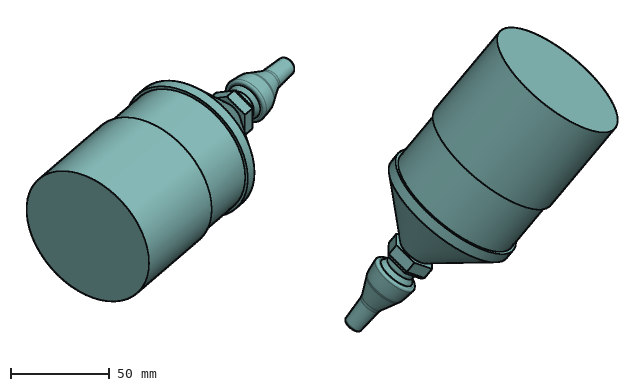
import cadquery as cq
import math

total_length = 173.7
body_length = 54.5
collar_start = 86.0
cone_start = 91.9
nut_start = 121.0
nut_length = 8.0
neck_end = 133.2
barb_start = 136.2
barb_rim_round = 1.5
barb_shoulder = 146.3
barb_taper_start = 147.3
barb_taper_end = 157.2
spigot_start = 158.8
tip_round = 1.2

body_radius = 76.3 / 2
waist_radius = 73.0 / 2
neck_radius = 16.3 / 2
barb_underside_radius = 9.9
barb_radius = 12.5
bulge_height = 0.2
barb_shoulder_radius = 11.3
barb_taper_radius = 10.8
barb_taper_end_radius = 6.3
spigot_radius = 5.9
tip_radius = 5.0

nut_across_flats = 22.5
nut_chamfer_width = 0.9
nut_chamfer_length = 1.5

cone_top_radius = body_radius - (nut_start - cone_start)


def make_body():
    """Cylindrical body with a recessed waist, a collar and a cone."""
    return (
        cq.Workplane("XY")
        .lineTo(body_radius, 0)
        .lineTo(body_radius, body_length)
        .lineTo(waist_radius, body_length)
        .lineTo(waist_radius, collar_start)
        .lineTo(body_radius, collar_start)
        .lineTo(body_radius, cone_start)
        .lineTo(cone_top_radius, nut_start)
        .lineTo(0, nut_start)
        .close()
        .revolve(360, (0, 0, 0), (0, 1, 0))
    )


def make_nut():
    """Hexagonal nut with each flat chamfered at the hose end."""
    corner_diameter = nut_across_flats / math.cos(math.radians(30))
    plane = cq.Plane(origin=(0, nut_start, 0), xDir=(0, 0, 1), normal=(0, 1, 0))
    nut = cq.Workplane(plane).polygon(6, corner_diameter).extrude(nut_length)
    return nut.faces(">Y").chamfer(nut_chamfer_length, nut_chamfer_width)


def make_hose_barb():
    """Neck, bulging barb and tapered spigot with a rounded tip."""
    diagonal = math.sqrt(0.5)
    barb_rim = barb_start + barb_rim_round
    barb_edge_radius = barb_radius - barb_rim_round
    rim_offset = barb_rim_round * diagonal
    round_offset = tip_round * diagonal
    tip_face_radius = tip_radius - tip_round
    tip_round_start = total_length - tip_round
    bulge_middle = (
        (barb_radius + barb_shoulder_radius) / 2 + bulge_height,
        (barb_rim + barb_shoulder) / 2,
    )
    return (
        cq.Workplane("XY")
        .moveTo(0, nut_start)
        .lineTo(neck_radius, nut_start)
        .lineTo(neck_radius, neck_end)
        .lineTo(barb_underside_radius, barb_start)
        .lineTo(barb_edge_radius, barb_start)
        .threePointArc(
            (barb_edge_radius + rim_offset, barb_rim - rim_offset),
            (barb_radius, barb_rim),
        )
        .threePointArc(bulge_middle, (barb_shoulder_radius, barb_shoulder))
        .lineTo(barb_taper_radius, barb_taper_start)
        .lineTo(barb_taper_end_radius, barb_taper_end)
        .lineTo(spigot_radius, spigot_start)
        .lineTo(tip_radius, tip_round_start)
        .threePointArc(
            (tip_face_radius + round_offset, tip_round_start + round_offset),
            (tip_face_radius, total_length),
        )
        .lineTo(0, total_length)
        .close()
        .revolve(360, (0, 0, 0), (0, 1, 0))
    )


result = make_body().union(make_nut()).union(make_hose_barb())